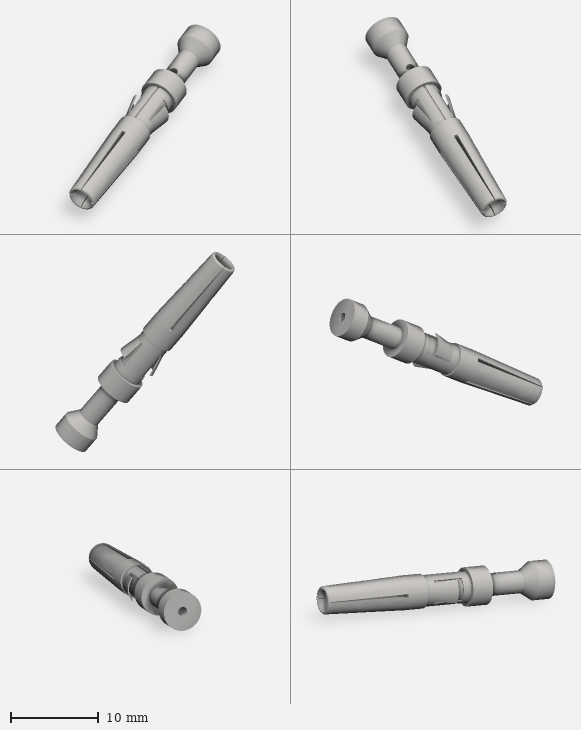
import cadquery as cq
import math

LENGTH = 28.5

head_end = 2.0
neck_start = 3.4
collar_start = 7.9
collar_end = 10.4
window_start = 11.4
tang_tip = 12.3
window_end = 14.9
sleeve_end = 15.93
ring_start = 16.0
ring_end = 18.5

head_radius = 2.25
neck_radius = 1.3
core_radius = 1.65
sleeve_thickness = 0.157
sleeve_radius = core_radius + sleeve_thickness
ring_radius = 2.0
tip_radius = 1.62
tip_round = 0.25

bore_radius = 1.0
lead_in_radius = 1.2
lead_in_chamfer = tip_radius - tip_round - lead_in_radius
lead_in_depth = 0.77
drill_angle = 118.0

slot_root_width = 0.45
slot_tip_width = 0.1

crimp_bore_radius = 0.55
inspection_radius = 0.48
inspection_position = 6.98
crimp_bore_depth = inspection_position + inspection_radius

seam_width = 0.23
window_width = 2.68
tang_root_width = 2.2
tang_tip_width = 2.82
tang_tip_reach = 2.4
tang_tip_curvature = 2.2


def station(distance):
    """Y coordinate of a point at the given distance from the wire end."""
    return LENGTH / 2 - distance


def revolve_about_axis(profile):
    return profile.close().revolve(360, (0, 0), (0, 1))


def make_body():
    """Solid outside shape, with the rounded nose."""
    nose_y = station(LENGTH)
    arc_offset = tip_round * math.sqrt(0.5)
    arc_middle = (tip_radius - tip_round + arc_offset, nose_y + tip_round - arc_offset)
    profile = (
        cq.Workplane("XY")
        .moveTo(0, station(0))
        .lineTo(head_radius, station(0))
        .lineTo(head_radius, station(head_end))
        .lineTo(neck_radius, station(neck_start))
        .lineTo(neck_radius, station(collar_start))
        .lineTo(head_radius, station(collar_start))
        .lineTo(head_radius, station(collar_end))
        .lineTo(core_radius, station(collar_end))
        .lineTo(core_radius, station(ring_start))
        .lineTo(ring_radius, station(ring_start))
        .lineTo(ring_radius, station(ring_end))
        .lineTo(tip_radius, nose_y + tip_round)
        .threePointArc(arc_middle, (tip_radius - tip_round, nose_y))
        .lineTo(0, nose_y)
    )
    return revolve_about_axis(profile)


def make_socket_bore():
    """Blind bore with a drill-point bottom and a rounded lead-in at the nose."""
    nose_y = station(LENGTH)
    bottom_y = station(ring_end)
    point_depth = bore_radius / math.tan(math.radians(drill_angle / 2))
    profile = (
        cq.Workplane("XY")
        .moveTo(0, bottom_y + point_depth)
        .lineTo(bore_radius, bottom_y)
        .lineTo(bore_radius, nose_y + lead_in_depth)
        .tangentArcPoint((lead_in_radius, nose_y + lead_in_chamfer), relative=False)
        .lineTo(lead_in_radius + lead_in_chamfer, nose_y)
        .lineTo(0, nose_y)
    )
    return revolve_about_axis(profile)


def make_finger_slot(angle):
    """Wedge through the whole diameter, narrowing from the ring to the nose."""
    root_y = station(ring_end)
    nose_y = station(LENGTH)
    corners = [
        (-slot_root_width / 2, root_y),
        (slot_root_width / 2, root_y),
        (slot_tip_width / 2, nose_y),
        (-slot_tip_width / 2, nose_y),
    ]
    wedge = cq.Workplane("XY").polyline(corners).close().extrude(ring_radius, both=True)
    return wedge.rotate((0, 0, 0), (0, 1, 0), angle)


def make_crimp_bore():
    """Blind wire bore from the wire end."""
    wire_end = cq.Workplane("XZ", origin=(0, station(0), 0))
    return wire_end.circle(crimp_bore_radius).extrude(crimp_bore_depth)


def make_inspection_hole():
    """Hole from the top of the neck down to the wire bore."""
    return (
        cq.Workplane("XY")
        .center(0, station(inspection_position))
        .circle(inspection_radius)
        .extrude(neck_radius)
    )


def make_sleeve():
    """Thin tube on the core with a seam along the top and a window on each side."""
    tube = (
        cq.Workplane("XZ", origin=(0, station(collar_end), 0))
        .circle(sleeve_radius)
        .circle(core_radius)
        .extrude(sleeve_end - collar_end)
    )
    seam = (
        cq.Workplane("XY")
        .center(0, station((collar_end + sleeve_end) / 2))
        .rect(seam_width, sleeve_end - collar_end)
        .extrude(sleeve_radius)
    )
    flank_x = math.sqrt(sleeve_radius**2 - (window_width / 2) ** 2)
    overshoot = 2
    windows = cq.Workplane("XZ", origin=(0, station(window_start), 0))
    for side in (1, -1):
        outer_x = side * overshoot * flank_x
        outer_z = overshoot * window_width / 2
        windows = windows.polyline([(0, 0), (outer_x, outer_z), (outer_x, -outer_z)]).close()
    windows = windows.extrude(window_end - window_start)
    return tube.cut(seam).cut(windows)


def draw_tang_section(sketch, reach, curvature, width):
    """Curved strip of sleeve wall with radial flanks; reach is the X of its outermost point."""
    centre_x = reach - curvature
    half_angle = math.asin(width / 2 / curvature)

    def point(radius, angle):
        return (centre_x + radius * math.cos(angle), radius * math.sin(angle))

    inner = curvature - sleeve_thickness
    return (
        sketch.moveTo(*point(curvature, -half_angle))
        .threePointArc(point(curvature, 0), point(curvature, half_angle))
        .lineTo(*point(inner, half_angle))
        .threePointArc(point(inner, 0), point(inner, -half_angle))
        .close()
    )


def make_tang():
    """Tang on the +X side, leaning out from the window edge to its wider, flatter free tip."""
    tip = cq.Workplane("XZ", origin=(0, station(tang_tip), 0))
    tip = draw_tang_section(tip, tang_tip_reach, tang_tip_curvature, tang_tip_width)
    root = tip.workplane(offset=window_end - tang_tip)
    return draw_tang_section(root, sleeve_radius, sleeve_radius, tang_root_width).loft(ruled=True)


body = make_body().cut(make_socket_bore())
for slot_angle in (0, 90):
    body = body.cut(make_finger_slot(slot_angle))
body = body.cut(make_crimp_bore()).cut(make_inspection_hole())

tang = make_tang()
result = body.union(make_sleeve()).union(tang).union(tang.mirror("YZ"))